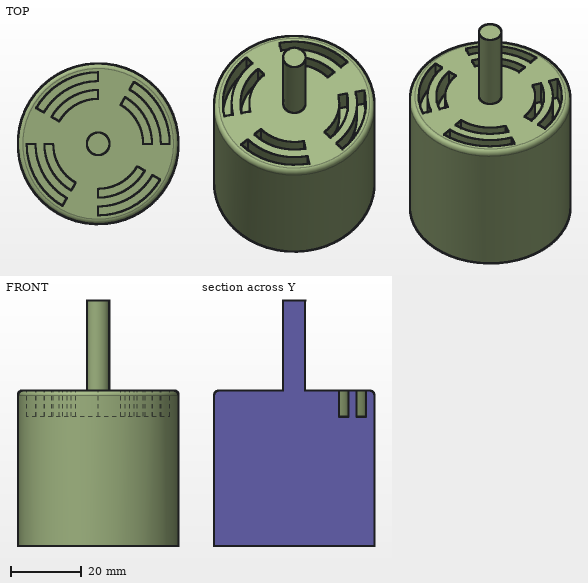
import cadquery as cq
import math

total_height = 69.85
body_diameter = 45.75
body_height = 44.3
rim_fillet = 1.5
shaft_diameter = 6.4

slot_width = 2.5
slot_inner_radii = (12.8, 17.8)
slot_span = 60.0
slot_groups = 4
slot_depth = 7.5


def polar(radius, degrees):
    """Point at the given radius and angle about the axis."""
    angle = math.radians(degrees)
    return radius * math.cos(angle), radius * math.sin(angle)


def arc_slot(inner_radius, start):
    """Square-ended arc slot, cut down from the top face of the body."""
    outer_radius = inner_radius + slot_width
    middle = start + slot_span / 2
    end = start + slot_span
    return (
        cq.Workplane("XY", origin=(0, 0, body_height))
        .moveTo(*polar(inner_radius, start))
        .lineTo(*polar(outer_radius, start))
        .threePointArc(polar(outer_radius, middle), polar(outer_radius, end))
        .lineTo(*polar(inner_radius, end))
        .threePointArc(polar(inner_radius, middle), polar(inner_radius, start))
        .close()
        .extrude(-slot_depth)
    )


body = (
    cq.Workplane("XY")
    .circle(body_diameter / 2)
    .extrude(body_height)
    .faces(">Z")
    .edges()
    .fillet(rim_fillet)
)

for group in range(slot_groups):
    for inner_radius in slot_inner_radii:
        body = body.cut(arc_slot(inner_radius, group * 360 / slot_groups))

shaft = (
    cq.Workplane("XY", origin=(0, 0, body_height))
    .circle(shaft_diameter / 2)
    .extrude(total_height - body_height)
)

result = body.union(shaft)